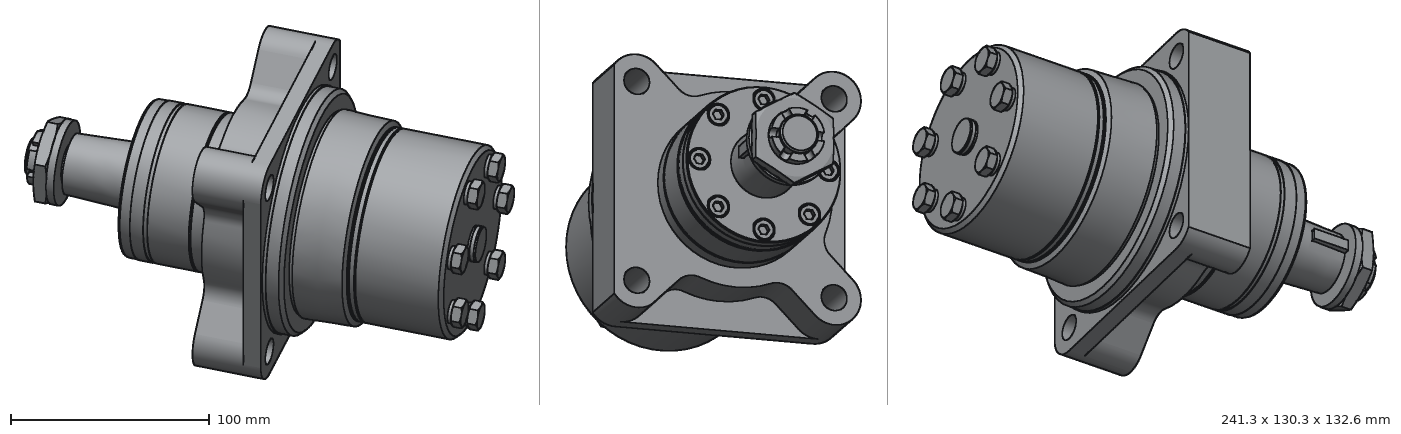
import cadquery as cq
import math


shaft_d = 20.0
shaft_tip_chamfer = 1.0
taper_start = 22.0
taper_end = 57.7
taper_small_d = 31.5
taper_large_d = 35.0
cotter_d = 4.5
cotter_x = 5.0

key_length = 20.0
key_width = 6.0
key_height = 6.0
key_top = 18.8

castle_start = 2.7
castle_d = 28.0
hex_start = 8.2
collar_start = 15.5
collar_end = 19.5
nut_flats = 41.0
nut_chamfer_angle = 15
collar_d = 44.0
slot_count = 6

cover_start = 59.5
cover_chamfer_length = 1.0
cover_chamfer_depth = 0.5
cover_joint = 65.9
front_groove_start = 72.9
front_groove_end = 75.0
flange_groove_start = 97.0
flange_groove_end = 98.0
front_groove_depth = 0.5
cover_d = 81.5
front_d = 82.0

flange_start = 107.1
flange_plate_start = 134.2
flange_end = 143.3
hole_offset = 52.1
hole_d = 13.5
corner_r = 14.2
flat_y = 64.0
hub_r = 51.2
waist_fillet_r = 10.4

pilot_rim_d = 128.0
pilot_rim_end = 145.0
pilot_d = 127.0
pilot_end = 154.0
pilot_chamfer = 2.2
body_neck_d = 105.5
body_start = 156.0
body_start_d = 107.5
body_end_d = 105.7
body_end = 182.0
body_chamfer_end = 183.5
rear_d = 100.0
rear_groove_starts = (183.9, 187.2)
rear_groove_width = 0.7
rear_groove_depth = 0.5
rear_end = 234.0
rear_chamfer = 2.2

plug_base_d = 18.0
plug_d = 18.5
plug_rim_start = 235.3
plug_rim_end = 237.5
plug_end = 238.5
bolt_count = 7
bolt_circle_r = 39.5
bolt_collar_d = 12.0
bolt_head_start = 236.0
bolt_flats = 13.0
bolt_chamfer_angle = 30
total_length = 241.3

screw_count = 8
screw_circle_r = 34.0
counterbore_d = 11.5
screw_head_d = 10.0
screw_gap_depth = 2.0
socket_flats = 5.0
socket_depth = 3.0


def plane_at(x):
    """Plane across the motor axis: local x is +Y, local y is +Z, normal is +X."""
    return cq.Workplane(cq.Plane((x, 0, 0), (0, 1, 0), (1, 0, 0)))


def revolved(points):
    """Solid of revolution about the X axis from (x, radius) points."""
    return cq.Workplane("XY").polyline(points).close().revolve(360, (0, 0, 0), (1, 0, 0))


def disc(start, end, diameter):
    return plane_at(start).circle(diameter / 2).extrude(end - start)


def hex_corners(flats):
    return flats / math.cos(math.pi / 6)


def groove(start, end, diameter, depth):
    """Ring that cuts a groove of the given depth into a cylinder."""
    ring = plane_at(start).circle(diameter / 2).circle(diameter / 2 - depth)
    return ring.extrude(end - start)


def shaft():
    """Shaft end with a threaded tip and a taper that runs into the front cover."""
    thread_r = shaft_d / 2
    return revolved([
        (0, 0),
        (0, thread_r - shaft_tip_chamfer),
        (shaft_tip_chamfer, thread_r),
        (taper_start, thread_r),
        (taper_start, taper_small_d / 2),
        (taper_end, taper_large_d / 2),
        (cover_start, taper_large_d / 2),
        (cover_start, 0),
    ])


def front_housing():
    """Chamfered front cover and grooved cylinder up to the back of the flange."""
    cover_r = cover_d / 2
    cover = revolved([
        (cover_start, 0),
        (cover_start, cover_r - cover_chamfer_depth),
        (cover_start + cover_chamfer_length, cover_r),
        (cover_joint, cover_r),
        (cover_joint, 0),
    ])
    housing = cover.union(disc(cover_joint, flange_end, front_d))
    housing = housing.cut(groove(front_groove_start, front_groove_end, front_d, front_groove_depth))
    return housing.cut(groove(flange_groove_start, flange_groove_end, front_d, front_groove_depth))


def rear_housing():
    """Pilot behind the flange, slightly tapered body and grooved rear cylinder."""
    pilot_r = pilot_d / 2
    rear_r = rear_d / 2
    housing = revolved([
        (flange_end, 0),
        (flange_end, pilot_rim_d / 2),
        (pilot_rim_end, pilot_rim_d / 2),
        (pilot_rim_end, pilot_r),
        (pilot_end - pilot_chamfer, pilot_r),
        (pilot_end, pilot_r - pilot_chamfer),
        (pilot_end, body_neck_d / 2),
        (body_start, body_start_d / 2),
        (body_end, body_end_d / 2),
        (body_chamfer_end, rear_r),
        (rear_end - rear_chamfer, rear_r),
        (rear_end, rear_r - rear_chamfer),
        (rear_end, 0),
    ])
    for start in rear_groove_starts:
        housing = housing.cut(groove(start, start + rear_groove_width, rear_d, rear_groove_depth))
    return housing


def rear_plug():
    """Round plug on the motor axis with a slightly larger rim around its middle."""
    return disc(rear_end, plug_end, plug_base_d).union(disc(plug_rim_start, plug_rim_end, plug_d))


def waist_cut(angle):
    """Recess between two flange corners: 45 degree flanks blended by fillets into the round hub."""
    diagonal = math.sqrt(0.5)
    flank_offset = corner_r / diagonal
    slope = (waist_fillet_r / diagonal + flank_offset) / (hub_r + waist_fillet_r)
    tilt = math.acos(slope * diagonal) - math.pi / 4
    centre_u = (hub_r + waist_fillet_r) * math.sin(tilt)
    centre_v = (hub_r + waist_fillet_r) * math.cos(tilt)
    hub_u = hub_r * math.sin(tilt)
    hub_v = hub_r * math.cos(tilt)
    flank_u = centre_u + waist_fillet_r * diagonal
    flank_v = centre_v - waist_fillet_r * diagonal
    mid_angle = (-math.pi / 4 - tilt - math.pi / 2) / 2
    mid_u = centre_u + waist_fillet_r * math.cos(mid_angle)
    mid_v = centre_v + waist_fillet_r * math.sin(mid_angle)
    boss_u = hole_offset - corner_r * diagonal
    boss_v = hole_offset + corner_r * diagonal
    edge_v = hole_offset + corner_r
    arc_u = hole_offset - corner_r * math.sin(math.pi / 8)
    arc_v = hole_offset + corner_r * math.cos(math.pi / 8)
    return (
        plane_at(flange_start)
        .moveTo(-hole_offset, edge_v)
        .threePointArc((-arc_u, arc_v), (-boss_u, boss_v))
        .lineTo(-flank_u, flank_v)
        .threePointArc((-mid_u, mid_v), (-hub_u, hub_v))
        .threePointArc((0, hub_r), (hub_u, hub_v))
        .threePointArc((mid_u, mid_v), (flank_u, flank_v))
        .lineTo(boss_u, boss_v)
        .threePointArc((arc_u, arc_v), (hole_offset, edge_v))
        .close()
        .extrude(flange_plate_start - flange_start)
        .rotate((0, 0, 0), (1, 0, 0), angle)
    )


def flange():
    """Square mounting flange with rounded corners, trimmed flat on its +Y side."""
    side = 2 * (hole_offset + corner_r)
    thickness = flange_end - flange_start
    plate = plane_at(flange_start).rect(side, side).extrude(thickness).edges("|X").fillet(corner_r)
    for angle in (0, 90, 180):
        plate = plate.cut(waist_cut(angle))
    trim = cq.Workplane("XY").box(thickness, side, side, centered=(False, False, True))
    plate = plate.cut(trim.translate((flange_start, flat_y, 0)))
    holes = plane_at(flange_start).rect(2 * hole_offset, 2 * hole_offset, forConstruction=True).vertices()
    return plate.cut(holes.circle(hole_d / 2).extrude(thickness))


def hex_head(start, end, flats, chamfer_angle):
    """Hexagonal prism with two corners on local X, with its points chamfered at both ends."""
    point_r = hex_corners(flats) / 2
    prism = plane_at(start).polygon(6, 2 * point_r).extrude(end - start)
    drop = (point_r - flats / 2) * math.tan(math.radians(chamfer_angle))
    envelope = revolved([
        (start, 0),
        (start, flats / 2),
        (start + drop, point_r),
        (end - drop, point_r),
        (end, flats / 2),
        (end, 0),
    ])
    return prism.intersect(envelope)


def rear_bolt():
    """Hex bolt head on a round collar, standing on the rear face on the motor axis."""
    head = hex_head(bolt_head_start, total_length, bolt_flats, bolt_chamfer_angle)
    return disc(rear_end, bolt_head_start, bolt_collar_d).union(head)


def cover_screw_recess():
    """Ring gap around a sunk socket screw head, with the hexagonal socket inside it."""
    gap = plane_at(cover_start).circle(counterbore_d / 2).circle(screw_head_d / 2).extrude(screw_gap_depth)
    socket = plane_at(cover_start).polygon(6, hex_corners(socket_flats)).extrude(socket_depth)
    return gap.union(socket)


def key_block():
    """Parallel key in the taper on the +Y side."""
    return (
        cq.Workplane("XY")
        .box(key_length, key_height, key_width, centered=(False, False, True))
        .translate((taper_start, key_top - key_height, 0))
    )


def cotter_pin_hole():
    return cq.Workplane("XZ").center(cotter_x, 0).circle(cotter_d / 2).extrude(castle_d, both=True)


def motor_body():
    body = shaft().union(front_housing()).union(flange()).union(rear_housing()).union(rear_plug())
    for i in range(bolt_count):
        angle = math.radians(i * 360 / bolt_count)
        bolt_y = bolt_circle_r * math.cos(angle)
        bolt_z = bolt_circle_r * math.sin(angle)
        body = body.union(rear_bolt().translate((0, bolt_y, bolt_z)))
    for i in range(screw_count):
        angle = math.radians(i * 360 / screw_count)
        screw_y = screw_circle_r * math.cos(angle)
        screw_z = screw_circle_r * math.sin(angle)
        body = body.cut(cover_screw_recess().translate((0, screw_y, screw_z)))
    return body.cut(cotter_pin_hole()).cut(key_block())


def castle_nut():
    """Collared hexagon nut with a slotted crown facing the shaft tip."""
    hexagon = hex_head(hex_start, collar_start, nut_flats, nut_chamfer_angle)
    nut = disc(castle_start, hex_start, castle_d).union(hexagon.rotate((0, 0, 0), (1, 0, 0), 90))
    nut = nut.union(disc(collar_start, collar_end, collar_d))
    slot_rect = (
        cq.Workplane("XZ")
        .center(castle_start, 0)
        .rect(2 * (cotter_x - castle_start), cotter_d)
        .extrude(-castle_d)
    )
    slot_round = cq.Workplane("XZ").center(cotter_x, 0).circle(cotter_d / 2).extrude(-castle_d)
    slot = slot_rect.union(slot_round)
    for i in range(slot_count):
        nut = nut.cut(slot.rotate((0, 0, 0), (1, 0, 0), i * 360 / slot_count))
    return nut.cut(disc(castle_start, collar_end, shaft_d))


motor = motor_body()
key = key_block()
nut = castle_nut()

result = cq.Compound.makeCompound([motor.val(), key.val(), nut.val()])